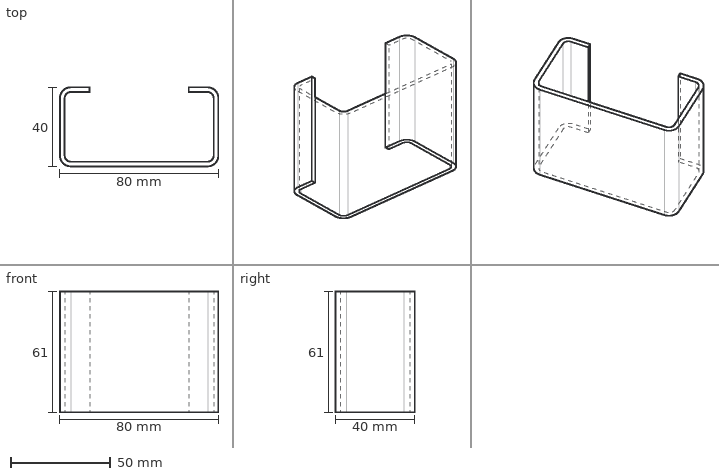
import cadquery as cq

width = 80.0
depth = 40.0
height = 61.0

thickness = 2.5
inner_radius = 3.0
outer_radius = inner_radius + thickness

lip_length = 15.0
slot_width = width - 2 * lip_length


def rounded_block(size_x, size_y, corner_radius):
    """Upright block with its four vertical edges rounded."""
    return cq.Workplane("XY").box(size_x, size_y, height).edges("|Z").fillet(corner_radius)


outside = rounded_block(width, depth, outer_radius)
inside = rounded_block(width - 2 * thickness, depth - 2 * thickness, inner_radius)
tube = outside.cut(inside)

slot = cq.Workplane("XY").box(slot_width, 2 * thickness, height)
slot = slot.translate((0, depth / 2 - thickness / 2, 0))

result = tube.cut(slot)